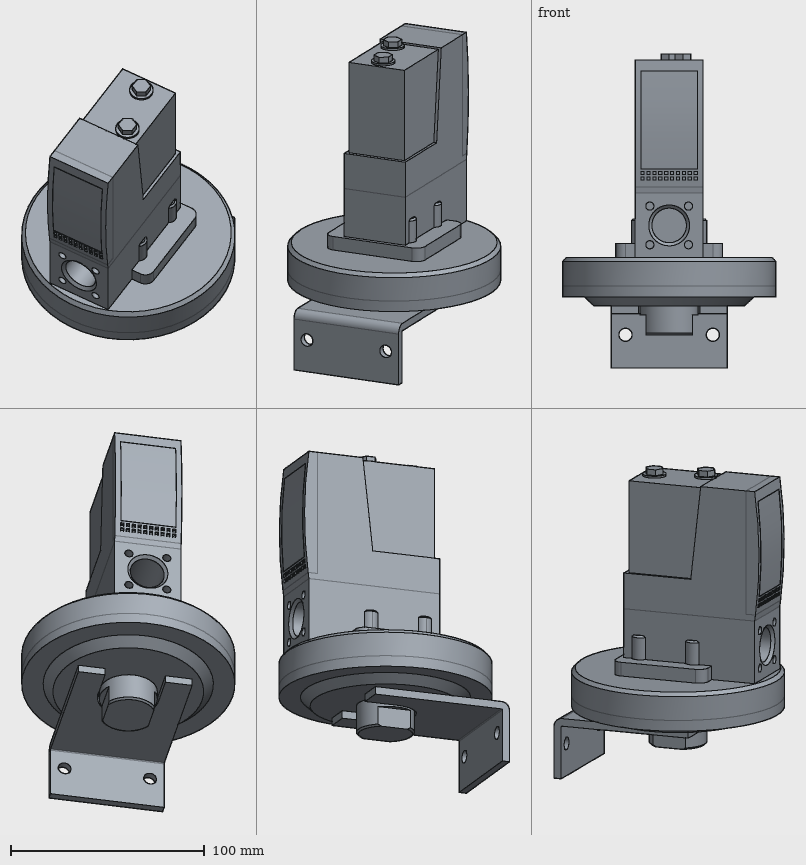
import cadquery as cq


overall_depth = 112.0
overall_height = 162.0

chamber_dia = 110.0
chamber_top = 57.0
chamber_seam = 42.5
chamber_bottom = 36.8
chamber_chamfer = 2.0
cone_top_radius = 43.9
cone_bottom_radius = 38.9

bracket_width = 60.0
bracket_thickness = 4.0
bracket_top = 32.0
bracket_front = -17.7
bracket_back = overall_depth - chamber_dia / 2
inner_bend_radius = 0.5
outer_bend_radius = inner_bend_radius + bracket_thickness
bracket_slot_width = 31.8
bracket_hole_dia = 6.6
bracket_hole_spacing = 45.0
bracket_hole_height = 17.2

spigot_dia = 30.0
spigot_bottom = 17.0
spigot_flats = 24.0
spigot_flats_top = 27.4
spigot_chamfer = 1.0

flange_width = 55.2
flange_depth = 51.4
flange_top = 64.3
flange_corner_radius = 5.0
screw_dia = 9.0
screw_spacing = 29.8
screw_top = 77.0
screw_chamfer = 1.0

housing_width = 35.0
housing_back = 23.2
housing_front = -49.5
housing_seam = 90.2
housing_step = 109.2
housing_top = 159.0
slant_top_y = -19.6
slant_bottom_y = -14.1
front_bulge = 2.5
panel_back = -44.9
panel_bottom = 93.5

block_width = 31.8
block_back = 20.9
block_top = 158.0

window_width = 29.0
window_bottom = 102.7
window_top = 153.1
window_depth = 0.2
pocket_size = 1.6
pocket_columns = 10
pocket_pitch = (window_width - pocket_size) / (pocket_columns - 1)
pocket_heights = (100.6, 97.7)

entry_height = 73.5
entry_dia = 17.8
entry_chamfer = 1.6
entry_depth = 32.4
entry_hole_dia = 4.2
entry_hole_spacing = 20.0
entry_hole_depth = 9.7

adjuster_places = [(0, 13.1), (7.1, -12.8)]
washer_dia = 12.2
washer_thickness = 1.0
hex_across_corners = 9.5


def box(width, y_front, y_back, z_low, z_high):
    """A block centred on X = 0."""
    size = (width, y_back - y_front, z_high - z_low)
    return cq.Workplane("XY").box(*size, centered=(True, False, False)).translate((0, y_front, z_low))


def cylinder(diameter, z_low, z_high):
    """An upright cylinder on the Z axis."""
    return cq.Workplane("XY").workplane(offset=z_low).circle(diameter / 2).extrude(z_high - z_low)


def facing_front(y, z):
    """A sketch plane at the given depth and height; positive extrusion runs toward the front."""
    return cq.Workplane("XZ", origin=(0, y, z))


def make_chamber():
    cover = cylinder(chamber_dia, chamber_seam, chamber_top).faces(">Z").chamfer(chamber_chamfer)
    base = cylinder(chamber_dia, chamber_bottom, chamber_seam)
    cone_points = [
        (0, bracket_top),
        (cone_bottom_radius, bracket_top),
        (cone_top_radius, chamber_bottom),
        (0, chamber_bottom),
    ]
    cone = cq.Workplane("XZ").polyline(cone_points).close().revolve(360, (0, 0), (0, 1))
    return cover.union(base, clean=False).union(cone, clean=False)


def make_bracket():
    plate_bottom = bracket_top - bracket_thickness
    wall_front = bracket_back - bracket_thickness
    plate = box(bracket_width, bracket_front, bracket_back, plate_bottom, bracket_top)
    wall = box(bracket_width, wall_front, bracket_back, 0, bracket_top)
    angle = plate.union(wall).edges(">Y and >Z").fillet(outer_bend_radius)
    inner_corner = cq.selectors.NearestToPointSelector((0, wall_front, plate_bottom))
    angle = angle.edges("|X").edges(inner_corner).fillet(inner_bend_radius)

    slot = cylinder(bracket_slot_width, plate_bottom, bracket_top)
    slot = slot.union(box(bracket_slot_width, bracket_front, 0, plate_bottom, bracket_top))
    holes = (
        facing_front(bracket_back, bracket_hole_height)
        .pushPoints([(-bracket_hole_spacing / 2, 0), (bracket_hole_spacing / 2, 0)])
        .circle(bracket_hole_dia / 2)
        .extrude(bracket_thickness)
    )
    return angle.cut(slot).cut(holes)


def make_spigot():
    spigot = cylinder(spigot_dia, spigot_bottom, bracket_top).faces("<Z").chamfer(spigot_chamfer)
    radius = spigot_dia / 2
    shoulder = cylinder(spigot_dia, spigot_flats_top, bracket_top)
    between_flats = box(spigot_flats, -radius, radius, spigot_bottom, bracket_top)
    return spigot.intersect(between_flats.union(shoulder))


def make_flange():
    half_depth = flange_depth / 2
    plate = box(flange_width, -half_depth, half_depth, chamber_top, flange_top)
    plate = plate.edges("|Z").fillet(flange_corner_radius)
    screws = (
        cq.Workplane("XY")
        .workplane(offset=chamber_top)
        .rect(screw_spacing, screw_spacing, forConstruction=True)
        .vertices()
        .circle(screw_dia / 2)
        .extrude(screw_top - chamber_top)
        .faces(">Z")
        .chamfer(screw_chamfer)
    )
    return plate.union(screws)


def make_upper_housing():
    """The L-shaped hood with a bowed front, joined flush to the front panel."""
    outline = (
        cq.Workplane("YZ", origin=(-housing_width / 2, 0, 0))
        .moveTo(housing_back, housing_seam)
        .lineTo(housing_back, housing_step)
        .lineTo(slant_bottom_y, housing_step)
        .lineTo(slant_top_y, housing_top)
        .lineTo(housing_front, housing_top)
        .threePointArc(
            (housing_front - front_bulge, (housing_top + housing_seam) / 2),
            (housing_front, housing_seam),
        )
        .close()
    )
    hood = outline.extrude(housing_width)
    panel_space = box(housing_width, housing_front - front_bulge, panel_back, panel_bottom, housing_top)
    panel = cut_window(hood.intersect(panel_space))
    return hood.cut(panel_space).union(panel, clean=False)


def cut_window(panel):
    """Sink the window evenly below the bowed face and cut two rows of pockets through the bow."""
    window_height = window_top - window_bottom
    window = (
        facing_front(panel_back, window_bottom + window_height / 2)
        .rect(window_width, window_height)
        .extrude(panel_back - housing_front + front_bulge)
    )
    recess = window.cut(panel.translate((0, window_depth, 0)))
    panel = panel.cut(recess)

    first_x = -(pocket_columns - 1) * pocket_pitch / 2
    places = [(first_x + i * pocket_pitch, z) for z in pocket_heights for i in range(pocket_columns)]
    pockets = (
        facing_front(housing_front, 0)
        .pushPoints(places)
        .rect(pocket_size, pocket_size)
        .extrude(front_bulge)
    )
    return panel.cut(pockets)


def make_rear_block():
    return box(block_width, slant_top_y, block_back, housing_seam, block_top)


def make_lower_housing():
    """The lower box with the cable entry and its four fixing holes."""
    body = box(housing_width, housing_front, housing_back, chamber_top, housing_seam)
    entry = facing_front(housing_front + entry_depth, entry_height).circle(entry_dia / 2).extrude(entry_depth)
    mouth = (
        facing_front(housing_front, entry_height)
        .circle(entry_dia / 2 + entry_chamfer)
        .extrude(-entry_chamfer, taper=45)
    )
    holes = (
        facing_front(housing_front, entry_height)
        .rect(entry_hole_spacing, entry_hole_spacing, forConstruction=True)
        .vertices()
        .circle(entry_hole_dia / 2)
        .extrude(-entry_hole_depth)
    )
    return body.cut(entry).cut(mouth).cut(holes)


def make_adjusters():
    """Washers and hexagon heads; two corners of each hexagon point along Y."""
    washers = (
        cq.Workplane("XY")
        .workplane(offset=block_top)
        .pushPoints(adjuster_places)
        .circle(washer_dia / 2)
        .extrude(washer_thickness)
    )
    heads = (
        cq.Workplane("XY")
        .workplane(offset=block_top)
        .transformed(rotate=(0, 0, 90))
        .pushPoints([(y, -x) for x, y in adjuster_places])
        .polygon(6, hex_across_corners)
        .extrude(overall_height - block_top)
    )
    return washers.union(heads)


result = make_chamber()
result = result.union(make_bracket(), clean=False)
result = result.union(make_spigot(), clean=False)
result = result.union(make_flange(), clean=False)
result = result.union(make_lower_housing(), clean=False)
result = result.union(make_upper_housing(), clean=False)
result = result.union(make_rear_block(), clean=False)
result = result.union(make_adjusters(), clean=False)